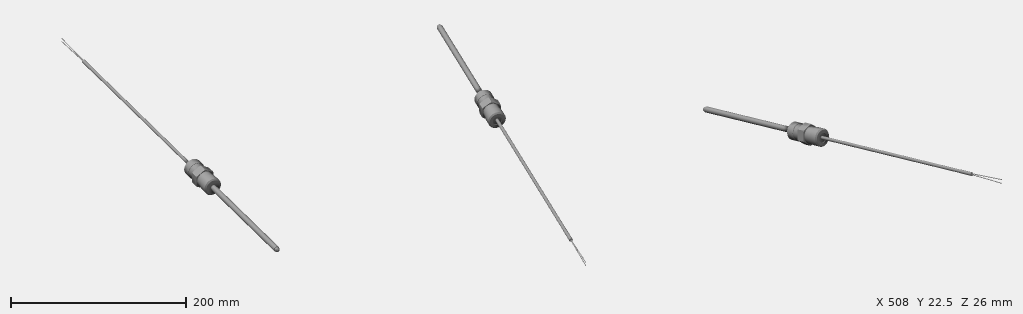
import cadquery as cq
import math

LENGTH = 508.0

FITTING_START = 305.0
FITTING_LENGTH = 51.0
FITTING_END = FITTING_START + FITTING_LENGTH
FITTING_RADIUS = 10.0
END_RADIUS = 10.5
END_LENGTH = 11.0
END_CHAMFER = 1.5
HEX_FLATS = 22.5
HEX_CORNERS = HEX_FLATS / math.cos(math.pi / 6)
HEX_START = 325.0
HEX_LENGTH = 10.5
HEX_CHAMFER = 1.5
SEAT_RADIUS = 5.5
SEAT_DEPTH = 1.5

SHEATH_RADIUS = 3.5
SHEATH_START = 360.0
SHEATH_END = 504.0
NECK_RADIUS = 3.3
TIP_RADIUS = 2.5
TIP_CHAMFER = 1.5
CABLE_RADIUS = 2.0
SLEEVE_RADIUS = 2.15
SLEEVE_START = 51.0
SLEEVE_LENGTH = 19.5

WIRE_RADIUS = 0.5
WIRE_TIP_OFFSET = 2.15
WIRE_ROOT_OFFSET = 0.5
WIRE_ROOT = SLEEVE_START + 2.5


def rod(start, end, radius):
    """Cylinder on the X axis between two stations."""
    return cq.Workplane("YZ").workplane(offset=start).circle(radius).extrude(end - start)


def make_hex():
    """Hexagon with corners on Z, its corners beveled at both ends."""
    blank = (
        cq.Workplane("YZ").workplane(offset=HEX_START)
        .polygon(6, HEX_CORNERS).extrude(HEX_LENGTH)
        .rotate((0, 0, 0), (1, 0, 0), 90)
    )
    bevel = rod(HEX_START, HEX_START + HEX_LENGTH, HEX_CORNERS / 2 + HEX_CHAMFER / 2)
    return blank.intersect(bevel.faces("<X or >X").chamfer(HEX_CHAMFER))


def make_fitting():
    fitting = rod(FITTING_START, FITTING_END, FITTING_RADIUS).union(make_hex())
    for start in (FITTING_START, FITTING_END - END_LENGTH):
        fitting = fitting.union(rod(start, start + END_LENGTH, END_RADIUS))
    fitting = fitting.faces("<X or >X").chamfer(END_CHAMFER)
    seat = rod(FITTING_START, FITTING_START + SEAT_DEPTH, SEAT_RADIUS)
    cable_hole = rod(FITTING_START, HEX_START, CABLE_RADIUS)
    neck_hole = rod(HEX_START, FITTING_END, NECK_RADIUS)
    return fitting.cut(seat).cut(cable_hole).cut(neck_hole)


def make_wire(side):
    """Straight wire from its free end to a root buried in the sleeve."""
    convergence = side * (WIRE_ROOT_OFFSET - WIRE_TIP_OFFSET)
    return (
        cq.Workplane("YZ", origin=(0, 0, side * WIRE_TIP_OFFSET))
        .circle(WIRE_RADIUS)
        .sweep(
            cq.Workplane("XZ", origin=(0, 0, side * WIRE_TIP_OFFSET))
            .lineTo(WIRE_ROOT, convergence)
        )
    )


def make_probe():
    tip = rod(SHEATH_END, LENGTH, TIP_RADIUS).faces(">X").edges().chamfer(TIP_CHAMFER)
    probe = (
        rod(HEX_START, SHEATH_START, NECK_RADIUS)
        .union(rod(SHEATH_START, SHEATH_END, SHEATH_RADIUS))
        .union(tip)
        .union(rod(SLEEVE_START, HEX_START, CABLE_RADIUS))
        .union(rod(SLEEVE_START, SLEEVE_START + SLEEVE_LENGTH, SLEEVE_RADIUS))
    )
    for side in (-1, 1):
        probe = probe.union(make_wire(side))
    return probe


fitting = make_fitting()
probe = make_probe()
result = cq.Compound.makeCompound([fitting.val(), probe.val()])